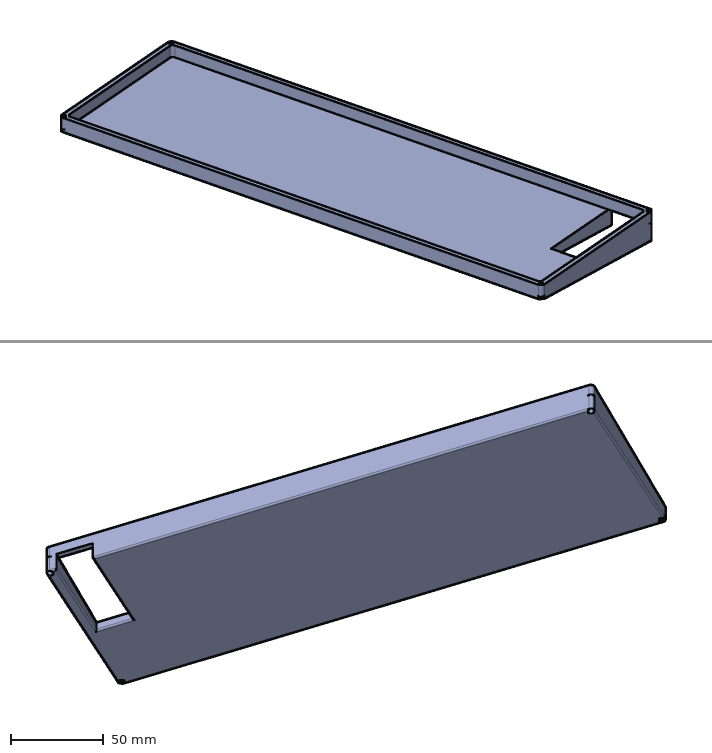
import cadquery as cq

length = 321.0
width = 103.5
back_height = 19.0
front_height = 9.3

wall = 3.2
recess_depth = 7.5
corner_radius = 2.2
inner_corner_radius = 2.0
bottom_radius = 1.0

opening_length = 21.2
opening_depth = 56.2
opening_right_margin = 6.5

screw_diameter = 2.2
head_diameter = 3.5
screw_inset = 2.0

floor_z = back_height - recess_depth
front_y = -width / 2
back_y = width / 2


def wedge_body():
    """Solid wedge with a flat top and a bottom that slopes down to the back."""
    side_profile = [
        (front_y, back_height),
        (front_y, back_height - front_height),
        (back_y, 0),
        (back_y, back_height),
    ]
    body = (
        cq.Workplane("YZ")
        .polyline(side_profile)
        .close()
        .extrude(length / 2, both=True)
    )
    return body.edges("|Z").fillet(corner_radius)


def recess():
    """Flat-floored recess that leaves a rim of constant thickness."""
    return (
        cq.Workplane("XY")
        .workplane(offset=floor_z)
        .rect(length - 2 * wall, width - 2 * wall)
        .extrude(recess_depth)
        .edges("|Z")
        .fillet(inner_corner_radius)
    )


def opening():
    """Rectangular cut below the floor level, open to the back."""
    center_x = length / 2 - opening_right_margin - opening_length / 2
    return (
        cq.Workplane("XY")
        .center(center_x, back_y - opening_depth / 2)
        .rect(opening_length, opening_depth)
        .extrude(floor_z)
    )


def corner_holes(diameter, height):
    """Four upright cylinders at the corners, rising from Z = 0."""
    return (
        cq.Workplane("XY")
        .rect(length - 2 * screw_inset, width - 2 * screw_inset, forConstruction=True)
        .vertices()
        .circle(diameter / 2)
        .extrude(height)
    )


result = wedge_body().cut(opening())
result = result.faces("<Z").edges().fillet(bottom_radius)

result = result.cut(recess())
result = result.cut(corner_holes(screw_diameter, back_height))
result = result.cut(corner_holes(head_diameter, floor_z))